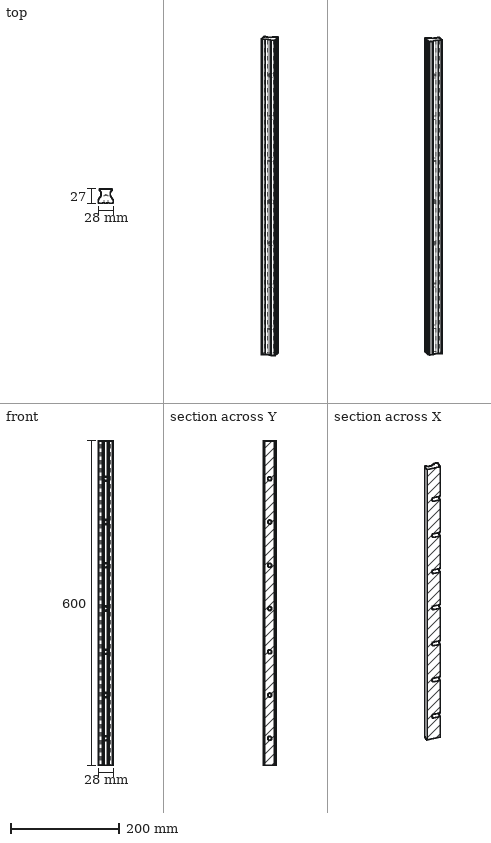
import cadquery as cq

RAIL_LENGTH = 600.0
BASE_WIDTH = 28.0
RAIL_HEIGHT = 27.0

BASE_CHAMFER = 1.6
BASE_SIDE_TOP = 6.5
SHOULDER_HALF_WIDTH = 12.0
SHOULDER_BOTTOM = 8.9
SHOULDER_TOP = 9.5
WEB_HALF_WIDTH = 8.7
WEB_BOTTOM = 14.2
WEB_FILLET = 2.0
WEB_TOP = 19.9
LIP_HALF_WIDTH = 9.8
LIP_TOP = 22.2
HEAD_HALF_WIDTH = 12.0
HEAD_SIDE_BOTTOM = 24.7
HEAD_CHAMFER = 0.6

GROOVE_INNER_X = 2.7
GROOVE_OUTER_X = 6.6
GROOVE_DEPTH = 0.8
GROOVE_WALL_RUN = 0.8

HOLE_COUNT = 7
HOLE_PITCH = 80.0
FIRST_HOLE_Z = 50.0
MOUTH_DIAMETER = 9.6
HOLE_DIAMETER = 6.8
HOLE_DEPTH = 15.0
DRILL_TIP = 2.0


def mirrored(right_side):
    """Close a half outline, listed bottom to top, with its reflection in X."""
    return right_side + [(-x, y) for x, y in reversed(right_side)]


def rail_body():
    """Extrude the waisted rail section along Z."""
    base_half = BASE_WIDTH / 2
    right_side = [
        (GROOVE_INNER_X, 0),
        (GROOVE_INNER_X, GROOVE_DEPTH),
        (GROOVE_OUTER_X - GROOVE_WALL_RUN, GROOVE_DEPTH),
        (GROOVE_OUTER_X, 0),
        (base_half - BASE_CHAMFER, 0),
        (base_half, BASE_CHAMFER),
        (base_half, BASE_SIDE_TOP),
        (SHOULDER_HALF_WIDTH, SHOULDER_BOTTOM),
        (SHOULDER_HALF_WIDTH, SHOULDER_TOP),
        (WEB_HALF_WIDTH, WEB_BOTTOM),
        (WEB_HALF_WIDTH, WEB_TOP),
        (LIP_HALF_WIDTH, LIP_TOP),
        (HEAD_HALF_WIDTH, HEAD_SIDE_BOTTOM),
        (HEAD_HALF_WIDTH, RAIL_HEIGHT - HEAD_CHAMFER),
        (HEAD_HALF_WIDTH - HEAD_CHAMFER, RAIL_HEIGHT),
    ]
    body = cq.Workplane("XY").polyline(mirrored(right_side)).close().extrude(RAIL_LENGTH)
    for x in (-WEB_HALF_WIDTH, WEB_HALF_WIDTH):
        web_corner = cq.selectors.NearestToPointSelector((x, WEB_BOTTOM, RAIL_LENGTH / 2))
        body = body.edges(web_corner).fillet(WEB_FILLET)
    return body


def mounting_hole(z):
    """Blind hole along +Y with a conical mouth and a drill-point bottom."""
    mouth_radius = MOUTH_DIAMETER / 2
    hole_radius = HOLE_DIAMETER / 2
    outline = [
        (0, 0),
        (mouth_radius, 0),
        (hole_radius, mouth_radius - hole_radius),
        (hole_radius, HOLE_DEPTH),
        (0, HOLE_DEPTH + DRILL_TIP),
    ]
    hole = cq.Workplane("XY").polyline(outline).close().revolve(360, (0, 0), (0, 1))
    return hole.translate((0, 0, z))


result = rail_body()
for index in range(HOLE_COUNT):
    result = result.cut(mounting_hole(FIRST_HOLE_Z + index * HOLE_PITCH))